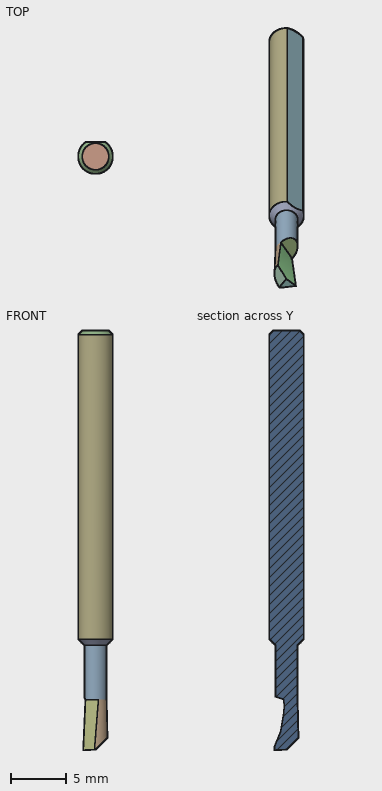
import cadquery as cq
import math

total_length = 38.1
shank_radius = 3.175 / 2
width_across_flat = 2.92
shank_length = 28.0
top_chamfer = 0.38

neck_radius = 1.02

blade_length = 4.6
tip_radius = 1.13
edge_angle_tip = 185
edge_angle_root = 205
relief_span = 80
relief_overrun = 1.3
back_turns = (100, 140, 180)
runout_slope_angle = 38.5

corner_chamfer_start = (0.06, 0, 0.1)
corner_chamfer_angle = 45
end_relief_angle = 3

shank_flat_y = width_across_flat - shank_radius
shank_bottom = total_length - shank_length
cone_bottom = shank_bottom - (shank_radius - neck_radius)
cutter_size = 4 * shank_radius


def polar(radius, angle):
    return radius * math.cos(math.radians(angle)), radius * math.sin(math.radians(angle))


def make_shank_and_neck():
    """Turned upper body, with a flat along the +Y side of the shank."""
    profile = [
        (0, blade_length),
        (neck_radius, blade_length),
        (neck_radius, cone_bottom),
        (shank_radius, shank_bottom),
        (shank_radius, total_length - top_chamfer),
        (shank_radius - top_chamfer, total_length),
        (0, total_length),
    ]
    body = cq.Workplane("XZ").polyline(profile).close().revolve(360, (0, 0), (0, 1))
    flat_cutter = cq.Workplane("XY").box(
        cutter_size, cutter_size, total_length, centered=(True, False, False)
    )
    return body.cut(flat_cutter.translate((0, shank_flat_y, 0)))


def cut_runout(body):
    """Sloped face that leads from the neck down to the rake face."""
    cutter = (
        cq.Workplane("XY")
        .box(cutter_size, cutter_size, cutter_size, centered=(True, False, True))
        .translate((0, 0, -cutter_size / 2))
        .rotate((0, 0, 0), (1, 0, 0), runout_slope_angle)
        .rotate((0, 0, 0), (0, 0, 1), edge_angle_root - 180)
        .translate((0, 0, blade_length))
    )
    return body.cut(cutter)


def section_points(radius, edge_angle):
    """Rake line through the axis, relief chord, and a back well outside the blade."""
    edge = polar(radius, edge_angle)
    relief_end = polar(radius, edge_angle + relief_span)
    chord_end = [start + relief_overrun * (end - start) for start, end in zip(edge, relief_end)]
    back = [polar(cutter_size, edge_angle + turn) for turn in back_turns]
    return [edge, chord_end] + back


def tilted_end_cutter(rise_angle, point):
    """Block below a plane through the point that rises toward +X."""
    below = cq.Workplane("XY").box(cutter_size, cutter_size, cutter_size)
    below = below.translate((0, 0, -cutter_size / 2))
    return below.rotate((0, 0, 0), (0, 1, 0), -rise_angle).translate(point)


def make_blade():
    """Flared cone trimmed to the twisted section, then by the end faces."""
    cone = (
        cq.Workplane("XY")
        .circle(tip_radius)
        .workplane(offset=blade_length)
        .circle(neck_radius)
        .loft()
    )
    twisted = (
        cq.Workplane("XY")
        .polyline(section_points(tip_radius, edge_angle_tip))
        .close()
        .workplane(offset=blade_length)
        .polyline(section_points(neck_radius, edge_angle_root))
        .close()
        .loft(ruled=True)
    )
    blade = cone.intersect(twisted)
    tip_x, tip_y = polar(tip_radius, edge_angle_tip)
    end_relief = tilted_end_cutter(end_relief_angle, (tip_x, tip_y, 0))
    corner_chamfer = tilted_end_cutter(corner_chamfer_angle, corner_chamfer_start)
    return blade.cut(end_relief).cut(corner_chamfer)


result = cut_runout(make_shank_and_neck()).union(make_blade())